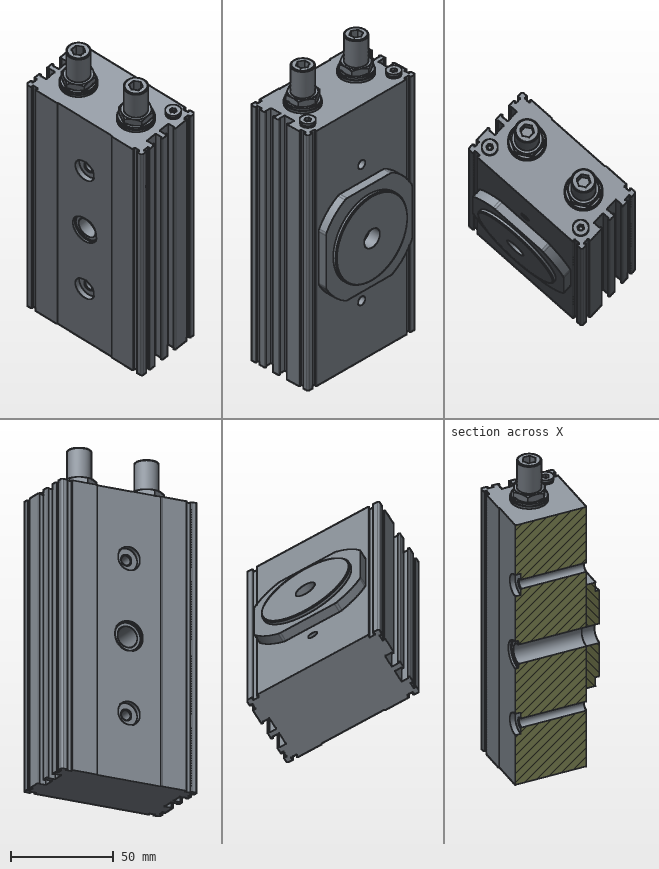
import cadquery as cq
import math

HOUSING_WIDTH = 75.0
HOUSING_DEPTH = 39.0
HOUSING_HEIGHT = 149.9
CORNER_RADIUS = 1.0
MOUTH_RADIUS = 0.41
MID_HEIGHT = HOUSING_HEIGHT / 2

ABSORBER_X = 18.6
ABSORBER_Y = 17.0

RECESS_WIDTH = 35.2
RECESS_DEPTH = 0.43

SMALL_SLOT_INSET = 4.7
SMALL_SLOT_MOUTH = 2.2
SMALL_SLOT_INNER = 3.1
SMALL_SLOT_LIP = 0.7
SMALL_SLOT_DEPTH = 1.5
SMALL_SLOT_X = HOUSING_WIDTH / 2 - SMALL_SLOT_INSET
SMALL_SLOT_YS = (SMALL_SLOT_INSET, HOUSING_DEPTH - SMALL_SLOT_INSET)

LARGE_SLOT_MOUTH = 5.2
LARGE_SLOT_INNER = 6.5
LARGE_SLOT_LIP = 1.0
LARGE_SLOT_DEPTH = 4.8
LARGE_SLOT_SPACING = 9.3
LARGE_SLOT_YS = (ABSORBER_Y - LARGE_SLOT_SPACING / 2, ABSORBER_Y + LARGE_SLOT_SPACING / 2)

MOUNT_OFFSET = 40.0
MOUNT_BORE = 5.0
MOUNT_CHAMFER_DIAMETER = 5.9
MOUNT_COUNTERBORE = 12.0
MOUNT_COUNTERBORE_DEPTH = 3.0

CENTRE_BORE = 10.9
SEAT_DIAMETER = 15.4
SEAT_DEPTH = 1.4
SEAT_STEP_DIAMETER = 14.3
SEAT_STEP_DEPTH = 0.3

FLANGE_WIDTH = 60.0
FLANGE_CORNER_DIAMETER = 68.0
FLANGE_BLEND_RADIUS = 3.0
FLANGE_THICKNESS = 5.0
DISC_DIAMETER = 50.0
TURNTABLE_THICKNESS = 7.0
DISC_CHAMFER = 0.5

ABSORBER_DIAMETER = 12.0
ABSORBER_LENGTH = 22.6
ABSORBER_CHAMFER = 0.5
SOCKET_FLATS = 6.0
SOCKET_DEPTH = 6.0

WASHER_THICKNESS = 2.6
WASHER_STEP_HEIGHT = 1.4
WASHER_LOWER_DIAMETER = 18.8
WASHER_UPPER_DIAMETER = 18.0

NUT_FLATS = 15.0
NUT_THICKNESS = 4.1
NUT_CHAMFER_ANGLE = 30.0

SCREW_X = 30.0
SCREW_Y = 31.5
SCREW_HEAD_DIAMETER = 8.0
SCREW_NECK_DIAMETER = 7.5
SCREW_NECK_HEIGHT = 1.0
SCREW_HEIGHT = 2.6
SCREW_SOCKET_FLATS = 3.0
SCREW_SOCKET_DEPTH = 1.5
SCREW_PILOT_DIAMETER = 2.0
SCREW_PILOT_DEPTH = 0.5


def cylinder_up(diameter, bottom, height):
    """Cylinder on the Z axis."""
    return cq.Workplane("XY").workplane(offset=bottom).circle(diameter / 2).extrude(height)


def cylinder_back(diameter, z, depth, start=0.0):
    """Cylinder along +Y at the middle of the width, starting at y = start."""
    return (
        cq.Workplane("XZ", origin=(0, start, z))
        .circle(diameter / 2)
        .extrude(-depth)
    )


def cone_back(mouth_diameter, floor_diameter, z, depth, start):
    """Cone along +Y at the middle of the width, with its mouth at y = start."""
    return (
        cq.Workplane("XZ", origin=(0, start, z))
        .circle(mouth_diameter / 2)
        .workplane(offset=-depth)
        .circle(floor_diameter / 2)
        .loft()
    )


def across_corners(flats):
    """Distance across the corners of a hexagon with the given distance across its flats."""
    return flats / math.cos(math.radians(30))


def hexagon_up(flats, bottom, height):
    """Hexagonal prism on the Z axis with two flats facing -X and +X."""
    return (
        cq.Workplane("XY")
        .workplane(offset=bottom)
        .transformed(rotate=(0, 0, 30))
        .polygon(6, across_corners(flats))
        .extrude(height)
    )


def t_slot(position, direction, mouth, inner, lip, depth):
    """Full-height T-slot cutter that enters the housing at `position`, at `direction` degrees from +X."""
    neck = cq.Workplane("XY").box(lip, mouth, HOUSING_HEIGHT, centered=(False, True, False))
    chamber = (
        cq.Workplane("XY")
        .box(depth - lip, inner, HOUSING_HEIGHT, centered=(False, True, False))
        .translate((lip, 0, 0))
    )
    return (
        neck.union(chamber)
        .rotate((0, 0, 0), (0, 0, 1), direction)
        .translate((position[0], position[1], 0))
    )


def small_slot(position, direction):
    return t_slot(
        position, direction, SMALL_SLOT_MOUTH, SMALL_SLOT_INNER, SMALL_SLOT_LIP, SMALL_SLOT_DEPTH
    )


def large_slot(position, direction):
    return t_slot(
        position, direction, LARGE_SLOT_MOUTH, LARGE_SLOT_INNER, LARGE_SLOT_LIP, LARGE_SLOT_DEPTH
    )


def cut_slots(body):
    half_width = HOUSING_WIDTH / 2
    for x in (-SMALL_SLOT_X, SMALL_SLOT_X):
        body = body.cut(small_slot((x, 0), 90))
        body = body.cut(small_slot((x, HOUSING_DEPTH), -90))
    for face_x, direction in ((-half_width, 0), (half_width, 180)):
        for y in SMALL_SLOT_YS:
            body = body.cut(small_slot((face_x, y), direction))
        for y in LARGE_SLOT_YS:
            body = body.cut(large_slot((face_x, y), direction))
    return body


def cut_mounting_hole(body, z):
    floor = RECESS_DEPTH + MOUNT_COUNTERBORE_DEPTH
    chamfer = (MOUNT_CHAMFER_DIAMETER - MOUNT_BORE) / 2
    countersink = cone_back(MOUNT_CHAMFER_DIAMETER, MOUNT_BORE, z, chamfer, floor)
    body = body.cut(cylinder_back(MOUNT_BORE, z, HOUSING_DEPTH))
    body = body.cut(cylinder_back(MOUNT_COUNTERBORE, z, floor))
    return body.cut(countersink)


def cut_centre_hole(body):
    body = body.cut(cylinder_back(CENTRE_BORE, MID_HEIGHT, HOUSING_DEPTH))
    ledge = RECESS_DEPTH + SEAT_DEPTH
    body = body.cut(cylinder_back(SEAT_DIAMETER, MID_HEIGHT, ledge))
    return body.cut(cylinder_back(SEAT_STEP_DIAMETER, MID_HEIGHT, SEAT_STEP_DEPTH, ledge))


def round_mouths(body):
    """Round the slot mouths and the sides of the recess where they meet the outer faces."""
    half_width = HOUSING_WIDTH / 2
    points = []
    for side in (-1, 1):
        points.append((side * RECESS_WIDTH / 2, 0))
        for lip_side in (-1, 1):
            small_reach = lip_side * SMALL_SLOT_MOUTH / 2
            large_reach = lip_side * LARGE_SLOT_MOUTH / 2
            for y in (0, HOUSING_DEPTH):
                points.append((side * SMALL_SLOT_X + small_reach, y))
            for y in SMALL_SLOT_YS:
                points.append((side * half_width, y + small_reach))
            for y in LARGE_SLOT_YS:
                points.append((side * half_width, y + large_reach))

    edges = []
    for x, y in points:
        edges.append(body.edges(cq.NearestToPointSelector((x, y, MID_HEIGHT))).val())
    return body.newObject(edges).fillet(MOUTH_RADIUS)


def make_housing():
    body = (
        cq.Workplane("XY")
        .box(HOUSING_WIDTH, HOUSING_DEPTH, HOUSING_HEIGHT, centered=(True, False, False))
        .edges("|Z")
        .fillet(CORNER_RADIUS)
    )
    recess = cq.Workplane("XY").box(
        RECESS_WIDTH, RECESS_DEPTH, HOUSING_HEIGHT, centered=(True, False, False)
    )
    body = cut_slots(body.cut(recess))
    body = round_mouths(body)
    for z in (MID_HEIGHT - MOUNT_OFFSET, MID_HEIGHT + MOUNT_OFFSET):
        body = cut_mounting_hole(body, z)
    return cut_centre_hole(body)


def make_turntable():
    """Square flange with large round corners, carrying a round disc, bored through the middle."""
    back_face = cq.Workplane("XZ", origin=(0, HOUSING_DEPTH, MID_HEIGHT))
    flange = (
        back_face.rect(FLANGE_WIDTH, FLANGE_WIDTH)
        .extrude(-FLANGE_THICKNESS)
        .intersect(cylinder_back(FLANGE_CORNER_DIAMETER, MID_HEIGHT, FLANGE_THICKNESS, HOUSING_DEPTH))
        .edges("|Y")
        .fillet(FLANGE_BLEND_RADIUS)
    )
    disc = (
        cylinder_back(DISC_DIAMETER, MID_HEIGHT, TURNTABLE_THICKNESS, HOUSING_DEPTH)
        .faces(">Y")
        .chamfer(DISC_CHAMFER)
    )
    bore = cylinder_back(CENTRE_BORE, MID_HEIGHT, TURNTABLE_THICKNESS, HOUSING_DEPTH)
    return flange.union(disc).cut(bore)


def make_absorber():
    socket = hexagon_up(SOCKET_FLATS, HOUSING_HEIGHT + ABSORBER_LENGTH - SOCKET_DEPTH, SOCKET_DEPTH)
    return (
        cylinder_up(ABSORBER_DIAMETER, HOUSING_HEIGHT, ABSORBER_LENGTH)
        .faces(">Z")
        .chamfer(ABSORBER_CHAMFER)
        .cut(socket)
    )


def make_washer():
    return (
        cylinder_up(WASHER_UPPER_DIAMETER, HOUSING_HEIGHT, WASHER_THICKNESS)
        .union(cylinder_up(WASHER_LOWER_DIAMETER, HOUSING_HEIGHT, WASHER_STEP_HEIGHT))
        .cut(cylinder_up(ABSORBER_DIAMETER, HOUSING_HEIGHT, WASHER_THICKNESS))
    )


def make_nut():
    """Hexagon nut whose corners are turned down at both ends."""
    bottom = HOUSING_HEIGHT + WASHER_THICKNESS
    corner_diameter = across_corners(NUT_FLATS)
    chamfer_width = (corner_diameter - NUT_FLATS) / 2
    chamfer_height = chamfer_width * math.tan(math.radians(NUT_CHAMFER_ANGLE))
    turned = (
        cylinder_up(corner_diameter, bottom, NUT_THICKNESS)
        .faces("<Z or >Z")
        .chamfer(chamfer_height, chamfer_width)
    )
    return (
        hexagon_up(NUT_FLATS, bottom, NUT_THICKNESS)
        .intersect(turned)
        .cut(cylinder_up(ABSORBER_DIAMETER, bottom, NUT_THICKNESS))
    )


def make_screw():
    """Plug screw with a narrower neck under its head and a hexagon socket that ends in a pilot hole."""
    head_height = SCREW_HEIGHT - SCREW_NECK_HEIGHT
    socket_bottom = HOUSING_HEIGHT + SCREW_HEIGHT - SCREW_SOCKET_DEPTH
    return (
        cylinder_up(SCREW_NECK_DIAMETER, HOUSING_HEIGHT, SCREW_HEIGHT)
        .union(cylinder_up(SCREW_HEAD_DIAMETER, HOUSING_HEIGHT + SCREW_NECK_HEIGHT, head_height))
        .cut(hexagon_up(SCREW_SOCKET_FLATS, socket_bottom, SCREW_SOCKET_DEPTH))
        .cut(cylinder_up(SCREW_PILOT_DIAMETER, socket_bottom - SCREW_PILOT_DEPTH, SCREW_PILOT_DEPTH))
    )


housing = make_housing()
turntable = make_turntable()

absorbers = []
washers = []
nuts = []
screws = []
for side in (-1, 1):
    absorber_place = (side * ABSORBER_X, ABSORBER_Y, 0)
    absorbers.append(make_absorber().translate(absorber_place).val())
    washers.append(make_washer().translate(absorber_place).val())
    nuts.append(make_nut().translate(absorber_place).val())
    screws.append(make_screw().translate((side * SCREW_X, SCREW_Y, 0)).val())

result = cq.Compound.makeCompound(
    [housing.val(), turntable.val(), *absorbers, *washers, *nuts, *screws]
)